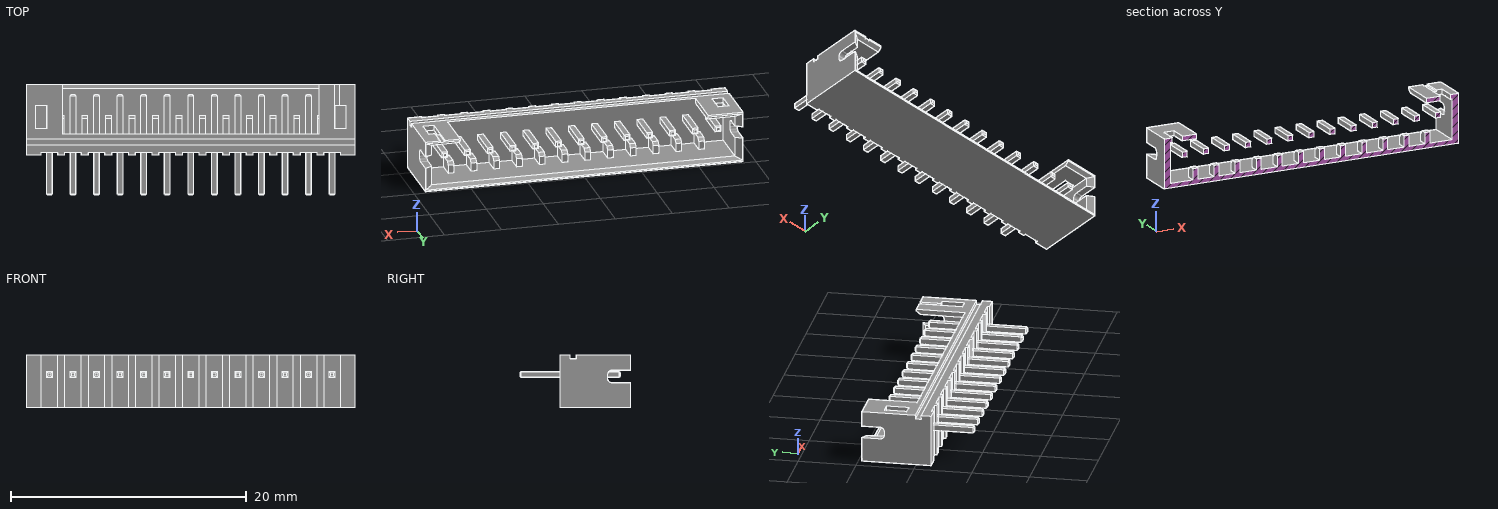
import cadquery as cq

length = 27.9
depth = 6.0
height = 4.5

pin_count = 13
pin_span = 24.0
pin_pitch = pin_span / (pin_count - 1)
pin_width = 0.5
pin_z = 2.82
pin_tail = 3.4
pin_tip_inset = 0.86
pin_tip_chamfer = 0.1

rear_wall = 1.79
cavity_wall = 0.45
end_wall = 0.65
mouth_depth = 0.35
mouth_rise = 0.3
mouth_spread = 0.59

tower_length = 3.07

slot_height = 1.03
slot_depth = 1.95
slot_z = 2.65
slot_radius = 0.35

window_width = 0.95
window_length = 1.93
window_inset = 0.78
window_y = 2.25
key_width = 0.42
key_depth = 0.15

top_groove_y = 0.86
top_groove_width = 0.5
top_groove_depth = 0.33

relief_width = 1.4
relief_depth = 0.2

rib_width = 0.5
rib_height = 1.0
rib_end_y = 3.38
rib_chamfer = 0.28


def block(x0, x1, y0, y1, z0, z1):
    """Box given by its lower and upper limits along each axis."""
    return cq.Workplane("XY").box(x1 - x0, y1 - y0, z1 - z0, centered=False).translate((x0, y0, z0))


def centred_block(x, width, y0, y1, z0, z1):
    """Block whose width along X is centred on x."""
    return block(x - width / 2, x + width / 2, y0, y1, z0, z1)


def cavity():
    """Rectangular mating pocket with a flared mouth."""
    width = length - 2 * end_wall
    opening = height - 2 * cavity_wall
    pocket = centred_block(0, width, rear_wall, depth, cavity_wall, height - cavity_wall)
    flare = (
        cq.Workplane("XZ", origin=(0, depth - mouth_depth, height / 2))
        .rect(width, opening)
        .workplane(offset=-mouth_depth)
        .rect(width + 2 * mouth_spread, opening + 2 * mouth_rise)
        .loft(ruled=True)
    )
    return pocket.union(flare)


def end_slots():
    """Slot with rounded inner corners, running through both end walls."""
    bottom = slot_z - slot_height / 2
    slot = centred_block(0, length, depth - slot_depth, depth, bottom, bottom + slot_height)
    return slot.edges("|X and <Y").fillet(slot_radius)


def windows():
    """Openings through the top wall near both ends."""
    center_x = length / 2 - window_inset - window_width / 2
    cuts = [
        centred_block(x, window_width, window_y, window_y + window_length, height - cavity_wall, height)
        for x in (-center_x, center_x)
    ]
    return cuts[0].union(cuts[1])


def key_groove():
    """Shallow groove from the +X window to the mouth."""
    inner_x = length / 2 - window_inset - window_width
    return block(inner_x, inner_x + key_width, window_y + window_length, depth, height - key_depth, height)


def floor_rib(x):
    """Rib standing on the cavity floor, with a sloped front end."""
    rib = centred_block(x, rib_width, rear_wall, rib_end_y, cavity_wall, cavity_wall + rib_height)
    return rib.edges(">Y and >Z").chamfer(rib_chamfer)


def pin(x):
    """Square pin through the rear wall, chamfered at both ends."""
    bottom = pin_z - pin_width / 2
    body = centred_block(x, pin_width, -pin_tail, depth - pin_tip_inset, bottom, bottom + pin_width)
    return body.faces("<Y or >Y").chamfer(pin_tip_chamfer)


pin_positions = [-pin_span / 2 + i * pin_pitch for i in range(pin_count)]
rib_positions = [x + pin_pitch / 2 for x in pin_positions[:-1]]

housing = centred_block(0, length, 0, depth, 0, height)
housing = housing.cut(cavity())
top_opening = centred_block(0, length - 2 * tower_length, rear_wall, depth, height - cavity_wall, height)
housing = housing.cut(top_opening)
housing = housing.cut(end_slots())
housing = housing.cut(windows())
housing = housing.cut(key_groove())

top_groove = centred_block(
    0, length, top_groove_y, top_groove_y + top_groove_width, height - top_groove_depth, height
)
housing = housing.cut(top_groove)

for x in pin_positions:
    housing = housing.cut(centred_block(x, relief_width, 0, relief_depth, 0, height))
for x in rib_positions:
    housing = housing.union(floor_rib(x))
for x in pin_positions:
    housing = housing.union(pin(x))

result = housing